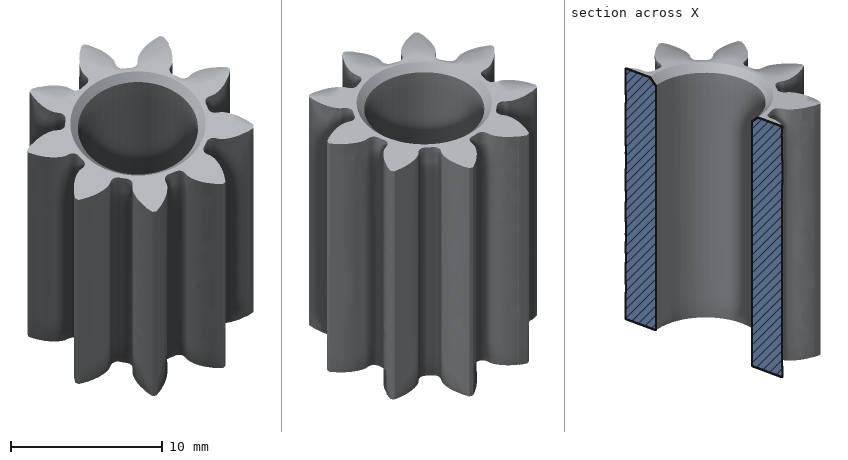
import cadquery as cq
import math

TEETH = 9
LENGTH = 19.05
PITCH_RADIUS = 5.715
PRESSURE_ANGLE = math.radians(14.5)
TIP_RADIUS = 7.643
ROOT_RADIUS = 4.8
ROOT_FILLET = 0.48
TIP_HALF_ANGLE = math.radians(1.0)
FIRST_TOOTH_ANGLE = math.pi
FLANK_STEPS = 8

BORE_RADIUS = 3.96875
BORE_CHAMFER = 0.5

BASE_RADIUS = PITCH_RADIUS * math.cos(PRESSURE_ANGLE)
TOOTH_PITCH = 2 * math.pi / TEETH
TIP_ROLL = math.sqrt((TIP_RADIUS / BASE_RADIUS) ** 2 - 1)
BASE_HALF_ANGLE = TIP_HALF_ANGLE + TIP_ROLL - math.atan(TIP_ROLL)

FILLET_CENTER_RADIUS = ROOT_RADIUS + ROOT_FILLET
FILLET_SPAN = math.asin(ROOT_FILLET / FILLET_CENTER_RADIUS)
FILLET_TOP_RADIUS = FILLET_CENTER_RADIUS * math.cos(FILLET_SPAN)


def polar(radius, angle):
    return (radius * math.cos(angle), radius * math.sin(angle))


def flank_points(center_angle, side):
    """Involute points from base circle to tip; side is -1 or +1."""
    points = []
    for step in range(FLANK_STEPS + 1):
        roll = TIP_ROLL * step / FLANK_STEPS
        half_angle = BASE_HALF_ANGLE - (roll - math.atan(roll))
        radius = BASE_RADIUS * math.hypot(1, roll)
        points.append(polar(radius, center_angle + side * half_angle))
    return points


def flank_tangents(center_angle, side):
    """Outward directions of the involute at the base circle and at the tip."""
    base_direction = center_angle + side * BASE_HALF_ANGLE
    tip_direction = base_direction - side * TIP_ROLL
    return [cq.Vector(*polar(1, base_direction)), cq.Vector(*polar(1, tip_direction))]


def fillet_middle(flank_angle, side):
    """Point halfway round the root fillet beside a flank."""
    center_angle = flank_angle + side * FILLET_SPAN
    center_x, center_y = polar(FILLET_CENTER_RADIUS, center_angle)
    toward_root = center_angle + math.pi
    toward_flank = flank_angle - side * math.pi / 2
    toward_x = math.cos(toward_root) + math.cos(toward_flank)
    toward_y = math.sin(toward_root) + math.sin(toward_flank)
    scale = ROOT_FILLET / math.hypot(toward_x, toward_y)
    return (center_x + scale * toward_x, center_y + scale * toward_y)


def add_tooth(outline, center_angle):
    """Draw one tooth, counterclockwise, and the root arc that follows it."""
    start_angle = center_angle - BASE_HALF_ANGLE
    end_angle = center_angle + BASE_HALF_ANGLE
    rising = flank_points(center_angle, -1)
    falling = flank_points(center_angle, 1)[::-1]
    rising_tangents = flank_tangents(center_angle, -1)
    falling_tangents = [-direction for direction in flank_tangents(center_angle, 1)[::-1]]
    next_root_end = center_angle + TOOTH_PITCH - BASE_HALF_ANGLE - FILLET_SPAN
    return (
        outline
        .threePointArc(fillet_middle(start_angle, -1), polar(FILLET_TOP_RADIUS, start_angle))
        .lineTo(*rising[0])
        .spline(rising[1:], tangents=rising_tangents, includeCurrent=True)
        .threePointArc(polar(TIP_RADIUS, center_angle), falling[0])
        .spline(falling[1:], tangents=falling_tangents, includeCurrent=True)
        .lineTo(*polar(FILLET_TOP_RADIUS, end_angle))
        .threePointArc(fillet_middle(end_angle, 1), polar(ROOT_RADIUS, end_angle + FILLET_SPAN))
        .threePointArc(
            polar(ROOT_RADIUS, center_angle + TOOTH_PITCH / 2),
            polar(ROOT_RADIUS, next_root_end),
        )
    )


def toothed_blank():
    first_root_end = FIRST_TOOTH_ANGLE - BASE_HALF_ANGLE - FILLET_SPAN
    outline = cq.Workplane("XY").moveTo(*polar(ROOT_RADIUS, first_root_end))
    for index in range(TEETH):
        outline = add_tooth(outline, FIRST_TOOTH_ANGLE + index * TOOTH_PITCH)
    return outline.close().extrude(LENGTH)


def bore_cutter():
    """Through bore with a 45 degree chamfer at the top end."""
    return (
        cq.Workplane("XZ")
        .lineTo(BORE_RADIUS, 0)
        .lineTo(BORE_RADIUS, LENGTH - BORE_CHAMFER)
        .lineTo(BORE_RADIUS + BORE_CHAMFER, LENGTH)
        .lineTo(0, LENGTH)
        .close()
        .revolve(360, (0, 0, 0), (0, 1, 0))
    )


result = toothed_blank().cut(bore_cutter())